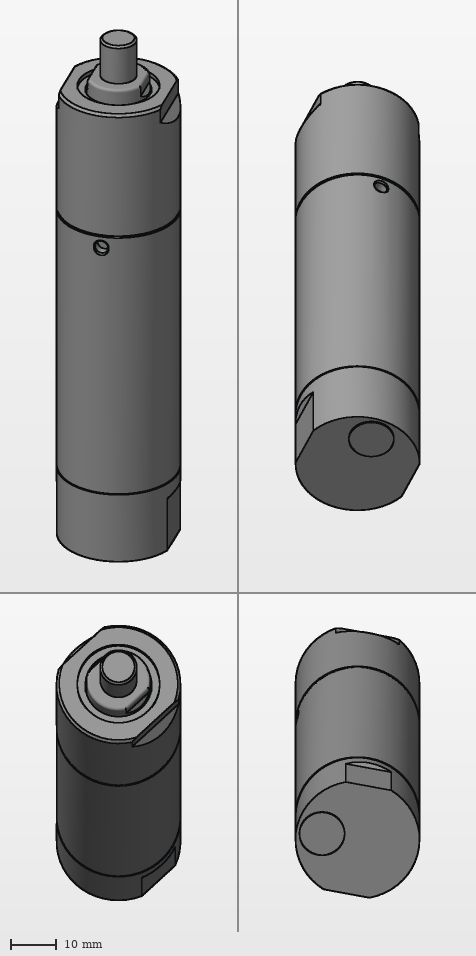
import cadquery as cq

LENGTH = 123.0
BODY_RADIUS = 13.5

REAR_FACE = 0.4
REAR_JOINT = 17.1
FRONT_JOINT = 80.9
FRONT_FACE = 111.2
COLLAR_TOP = 113.8

FRONT_JOINT_CHAMFER = 0.2
REAR_JOINT_CHAMFER = 0.1

SHAFT_RADIUS = 8.0 / 2
SHAFT_CHAMFER = 0.5
COLLAR_RADIUS = 13.9 / 2
COLLAR_ROUND = 0.6
COLLAR_FLAT = 6.0

FRONT_CHAMFER = 0.6
FRONT_FLAT = 11.6
FRONT_FLAT_BOTTOM = FRONT_FACE - 3.8

RING_RADIUS = 9.0
RING_BORE_RADIUS = 7.3
RING_FACE = FRONT_FACE - 1.0
RING_THICKNESS = 3.9
RING_SEAT = RING_FACE - RING_THICKNESS

HOLE_HEIGHT = 78.0
HOLE_RADIUS = 1.5
HOLE_CHAMFER = 0.4
HOLE_DEPTH = 2.5

REAR_FLAT = 12.5
REAR_FLAT_TOP = 13.8
REAR_FLAT_RUNOUT = 0.6

PLUG_RADIUS = 4.9
PLUG_OFFSET = -7.9
PLUG_LENGTH = 3.7


def cylinder(radius, bottom, top):
    return cq.Workplane("XY").workplane(offset=bottom).circle(radius).extrude(top - bottom)


def flat_cutters(profile):
    """A pair of mirrored cutters for wrench flats; the XZ profile lies on the +X side."""
    cutter = cq.Workplane("XZ").polyline(profile).close().extrude(BODY_RADIUS, both=True)
    return cutter.union(cutter.mirror("YZ"))


def upper_flat_cutters(flat, bottom):
    """Cutters for flats open at the top, whose lower ends slope outwards at 45 degrees."""
    run = BODY_RADIUS - flat
    profile = [(flat, LENGTH), (flat, bottom), (BODY_RADIUS, bottom - run), (BODY_RADIUS, LENGTH)]
    return flat_cutters(profile)


def make_spindle():
    collar = cylinder(COLLAR_RADIUS, RING_FACE, COLLAR_TOP)
    collar = collar.cut(upper_flat_cutters(COLLAR_FLAT, FRONT_FACE))
    collar = collar.faces(">Z").fillet(COLLAR_ROUND)
    root = cylinder(COLLAR_RADIUS, RING_SEAT, RING_FACE)
    shaft = cylinder(SHAFT_RADIUS, COLLAR_TOP, LENGTH).faces(">Z").chamfer(SHAFT_CHAMFER)
    return root.union(collar).union(shaft)


def make_front_ring():
    return cylinder(RING_RADIUS, RING_SEAT, RING_FACE).cut(cylinder(RING_BORE_RADIUS, RING_SEAT, RING_FACE))


def make_front_housing():
    housing = cylinder(BODY_RADIUS, FRONT_JOINT, FRONT_FACE)
    housing = housing.faces(">Z").chamfer(FRONT_CHAMFER)
    housing = housing.faces("<Z").chamfer(FRONT_JOINT_CHAMFER)
    housing = housing.cut(upper_flat_cutters(FRONT_FLAT, FRONT_FLAT_BOTTOM))
    return housing.cut(cylinder(RING_RADIUS, RING_SEAT, FRONT_FACE))


def make_main_housing():
    housing = cylinder(BODY_RADIUS, REAR_JOINT, FRONT_JOINT)
    housing = housing.faces(">Z").chamfer(FRONT_JOINT_CHAMFER)
    housing = housing.faces("<Z").chamfer(REAR_JOINT_CHAMFER)
    return housing.cut(side_hole_cutter())


def side_hole_cutter():
    """A blind hole with a chamfered mouth, entering from the -Y side."""
    mouth = cq.Workplane("XZ", origin=(0, -BODY_RADIUS, HOLE_HEIGHT))
    hole = mouth.circle(HOLE_RADIUS).extrude(-HOLE_DEPTH)
    sink = (
        mouth.circle(HOLE_RADIUS + HOLE_CHAMFER)
        .workplane(offset=-HOLE_CHAMFER)
        .circle(HOLE_RADIUS)
        .loft()
    )
    return hole.union(sink)


def make_rear_housing():
    housing = cylinder(BODY_RADIUS, REAR_FACE, REAR_JOINT)
    housing = housing.faces(">Z").chamfer(REAR_JOINT_CHAMFER)
    flat_profile = [
        (REAR_FLAT, REAR_FACE),
        (REAR_FLAT, REAR_FLAT_TOP - REAR_FLAT_RUNOUT),
        (BODY_RADIUS, REAR_FLAT_TOP),
        (BODY_RADIUS, REAR_FACE),
    ]
    return housing.cut(flat_cutters(flat_profile)).cut(make_rear_plug())


def make_rear_plug():
    return cylinder(PLUG_RADIUS, 0, PLUG_LENGTH).translate((0, PLUG_OFFSET, 0))


spindle = make_spindle()
front_ring = make_front_ring()
front_housing = make_front_housing()
main_housing = make_main_housing()
rear_housing = make_rear_housing()
rear_plug = make_rear_plug()

result = cq.Compound.makeCompound(
    [
        spindle.val(),
        front_ring.val(),
        front_housing.val(),
        main_housing.val(),
        rear_housing.val(),
        rear_plug.val(),
    ]
)